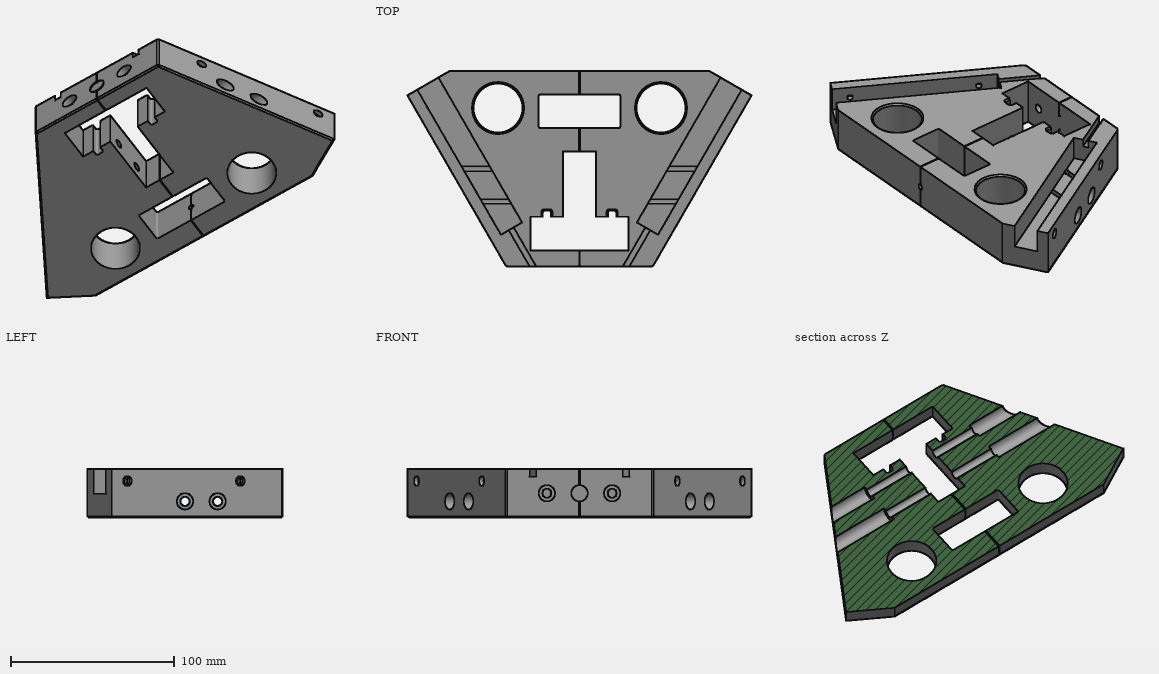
import cadquery as cq
import math

HEIGHT = 30.0
DEPTH = 120.0
FRONT_HALF_WIDTH = 45.0
FLANK_TILT = 30.0
BOTTOM_CHAMFER = 1.0
CORNER_CHAMFER = 0.8

SIN_TILT = math.sin(math.radians(FLANK_TILT))
COS_TILT = math.cos(math.radians(FLANK_TILT))
FLANK_WIDTH = 30.0
FLANK_LENGTH = (DEPTH - FLANK_WIDTH * SIN_TILT) / COS_TILT

CHANNEL_INSET = 7.0
CHANNEL_WIDTH = 15.0
CHANNEL_DEPTH = 15.2
CHANNEL_START = 18.5

CABLE_GROOVE_WIDTH = 3.5
CABLE_GROOVE_DEPTH = 5.0
CABLE_GROOVE_INSET = 14.25

CLAMP_POSITIONS = (30.0, 110.0)
CLAMP_Z = 22.5
CLAMP_HOLE_DIAMETER = 3.4
CLAMP_HEAD_DIAMETER = 6.0
CLAMP_HEAD_DEPTH = 3.0

SCREW_DIAMETER = 5.5
SCREW_HEAD_DIAMETER = 10.0
SIDE_SCREW_Y = (40.0, 60.0)
SIDE_SCREW_Z = 10.0
SIDE_SCREW_SEAT_X = 40.0
FRONT_SCREW_X = 20.0
FRONT_SCREW_Z = HEIGHT / 2
FRONT_SCREW_HEAD_DEPTH = 5.5

BORE_DIAMETER = 30.0
BORE_CHAMFER = 1.0
BORE_X = 50.0
BORE_Y = 97.25

WINDOW_LENGTH = 50.0
WINDOW_FRONT_Y = 85.0
WINDOW_REAR_Y = 105.5
WINDOW_CORNER_RADIUS = 1.0

CROSSBAR_LENGTH = 60.0
CROSSBAR_FRONT_Y = 10.0
CROSSBAR_REAR_Y = 30.5
STEM_WIDTH = 20.0
STEM_REAR_Y = 70.5

NOTCH_WIDTH = 5.0
NOTCH_CORNER_RADIUS = 1.25
NOTCH_DEPTH = 3.8
NOTCH_CHAMFER = 1.0

SPLIT_WIDTH = 0.5
DOWEL_RECESS = 0.5
DOWEL_DIAMETER = 10.0
DOWEL_Z = HEIGHT / 2

REAR_HOLE_DIAMETER = 3.4
REAR_HOLE_Z = HEIGHT / 2


def flank_point(along, inward):
    """XY point at a distance along the right flank and a distance inward from it."""
    x = FRONT_HALF_WIDTH + along * SIN_TILT - inward * COS_TILT
    y = along * COS_TILT + inward * SIN_TILT
    return x, y


def mirrored(shape):
    """The shape together with its mirror image across X = 0."""
    return shape.union(shape.mirror("YZ"))


def box(x_min, x_max, y_min, y_max, z_min=0.0, z_max=HEIGHT):
    size = (x_max - x_min, y_max - y_min, z_max - z_min)
    return cq.Workplane("XY").box(*size, centered=False).translate((x_min, y_min, z_min))


def cylinder(diameter, start, end):
    """Cylinder whose axis runs from start to end."""
    axis = cq.Vector(*end) - cq.Vector(*start)
    return cq.Workplane(cq.Solid.makeCylinder(diameter / 2, axis.Length, cq.Vector(*start), axis))


def plate():
    right_side = [
        (FRONT_HALF_WIDTH, 0.0),
        flank_point(FLANK_LENGTH, 0.0),
        flank_point(FLANK_LENGTH, FLANK_WIDTH),
    ]
    left_side = [(-x, y) for x, y in reversed(right_side)]
    body = cq.Workplane("XY").polyline(right_side + left_side).close().extrude(HEIGHT)
    body = body.edges("|Z").edges("<Y").chamfer(CORNER_CHAMFER)
    return body.faces("<Z").edges().chamfer(BOTTOM_CHAMFER)


def flank_slot(along_start, along_end, inset, width, depth):
    """Straight slot parallel to the right flank, cut down from the top face."""
    corners = [
        flank_point(along_start, inset),
        flank_point(along_end, inset),
        flank_point(along_end, inset + width),
        flank_point(along_start, inset + width),
    ]
    return cq.Workplane("XY", origin=(0, 0, HEIGHT - depth)).polyline(corners).close().extrude(depth)


def channels():
    channel = flank_slot(CHANNEL_START, FLANK_LENGTH, CHANNEL_INSET, CHANNEL_WIDTH, CHANNEL_DEPTH)
    groove_inset = CABLE_GROOVE_INSET - CABLE_GROOVE_WIDTH / 2
    groove = flank_slot(-CABLE_GROOVE_INSET, CHANNEL_START, groove_inset, CABLE_GROOVE_WIDTH, CABLE_GROOVE_DEPTH)
    return mirrored(channel.union(groove))


def clamp_holes():
    holes = cq.Workplane("XY")
    for along in CLAMP_POSITIONS:
        mouth = (*flank_point(along, 0.0), CLAMP_Z)
        head_seat = (*flank_point(along, CLAMP_HEAD_DEPTH), CLAMP_Z)
        tip = (*flank_point(along, CHANNEL_INSET + CHANNEL_WIDTH / 2), CLAMP_Z)
        holes = holes.union(cylinder(CLAMP_HEAD_DIAMETER, mouth, head_seat))
        holes = holes.union(cylinder(CLAMP_HOLE_DIAMETER, mouth, tip))
    return mirrored(holes)


def side_screw_holes():
    outside = FRONT_HALF_WIDTH + FLANK_LENGTH
    holes = cq.Workplane("XY")
    for y in SIDE_SCREW_Y:
        inner = (0.0, y, SIDE_SCREW_Z)
        seat = (SIDE_SCREW_SEAT_X, y, SIDE_SCREW_Z)
        outer = (outside, y, SIDE_SCREW_Z)
        holes = holes.union(cylinder(SCREW_DIAMETER, inner, outer))
        holes = holes.union(cylinder(SCREW_HEAD_DIAMETER, seat, outer))
    return mirrored(holes)


def front_screw_holes():
    mouth = (FRONT_SCREW_X, 0.0, FRONT_SCREW_Z)
    seat = (FRONT_SCREW_X, FRONT_SCREW_HEAD_DEPTH, FRONT_SCREW_Z)
    inner = (FRONT_SCREW_X, CROSSBAR_FRONT_Y, FRONT_SCREW_Z)
    hole = cylinder(SCREW_DIAMETER, mouth, inner).union(cylinder(SCREW_HEAD_DIAMETER, mouth, seat))
    return mirrored(hole)


def bores():
    bore = cylinder(BORE_DIAMETER, (BORE_X, BORE_Y, 0), (BORE_X, BORE_Y, HEIGHT))
    radius = BORE_DIAMETER / 2
    rim_base = cq.Vector(BORE_X, BORE_Y, HEIGHT - BORE_CHAMFER)
    rim = cq.Solid.makeCone(radius, radius + BORE_CHAMFER, BORE_CHAMFER, rim_base)
    return mirrored(bore.union(cq.Workplane(rim)))


def window():
    half = WINDOW_LENGTH / 2
    opening = box(-half, half, WINDOW_FRONT_Y, WINDOW_REAR_Y)
    return opening.edges("|Z").fillet(WINDOW_CORNER_RADIUS)


def t_opening():
    crossbar = box(-CROSSBAR_LENGTH / 2, CROSSBAR_LENGTH / 2, CROSSBAR_FRONT_Y, CROSSBAR_REAR_Y)
    stem = box(-STEM_WIDTH / 2, STEM_WIDTH / 2, CROSSBAR_FRONT_Y, STEM_REAR_Y)
    return crossbar.union(stem)


def notches():
    half = NOTCH_WIDTH / 2
    rear_y = CROSSBAR_REAR_Y + NOTCH_DEPTH
    notch = box(FRONT_SCREW_X - half, FRONT_SCREW_X + half, CROSSBAR_FRONT_Y, rear_y)
    notch = notch.edges("|Z and >Y").fillet(NOTCH_CORNER_RADIUS)
    flared_end = notch.faces(">Z").wires().toPending().extrude(NOTCH_CHAMFER, taper=-45, combine=False)
    rim = flared_end.translate((0, 0, -NOTCH_CHAMFER))
    front_limit = box(0, DEPTH, CROSSBAR_FRONT_Y, DEPTH)
    return mirrored(notch.union(rim.intersect(front_limit)))


def split():
    """Slit through every wall, leaving the dowel in the front wall uncut."""
    half = SPLIT_WIDTH / 2
    gap = box(-half, half, 0, DEPTH)
    return gap.cut(cylinder(DOWEL_DIAMETER, (0, 0, DOWEL_Z), (0, CROSSBAR_FRONT_Y, DOWEL_Z)))


def dowel_recess():
    return cylinder(DOWEL_DIAMETER, (0, 0, DOWEL_Z), (0, DOWEL_RECESS, DOWEL_Z))


def rear_hole():
    return cylinder(REAR_HOLE_DIAMETER, (0, WINDOW_REAR_Y, REAR_HOLE_Z), (0, DEPTH, REAR_HOLE_Z))


result = plate()
for cutter in (
    channels(),
    clamp_holes(),
    side_screw_holes(),
    front_screw_holes(),
    bores(),
    window(),
    t_opening(),
    notches(),
    split(),
    dowel_recess(),
    rear_hole(),
):
    result = result.cut(cutter)